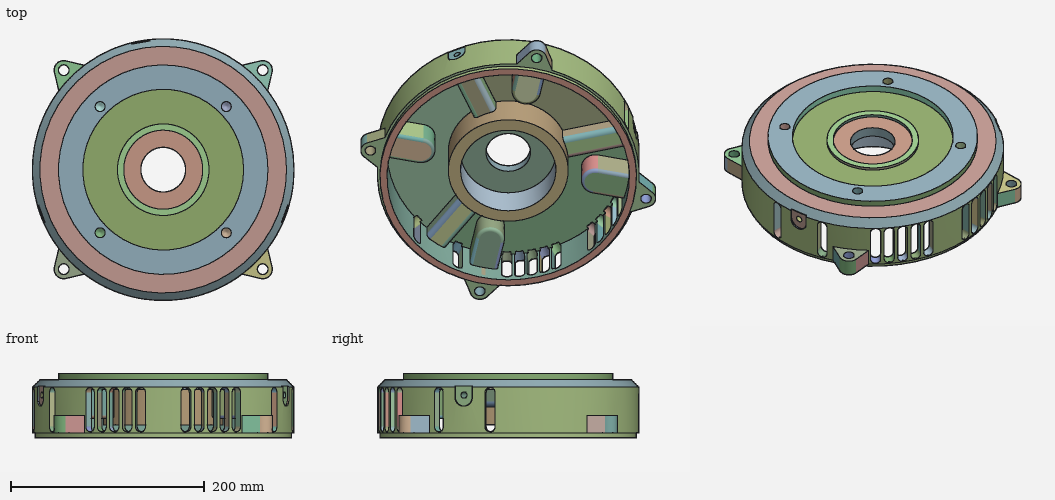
import cadquery as cq
import math

outer_radius = 135.0
base_radius = 132.3
base_height = 5.0
chamfer_size = 7.8
shoulder_height = 60.0
wall = 10.0
inner_radius = outer_radius - wall
ceiling_height = shoulder_height - wall

top_height = 66.5
rim_radius = 108.0
recess_radius = 83.0
recess_height = 59.0
collar_radius = 47.2
collar_inner_radius = 40.8
collar_height = 62.0

hub_radius = 61.8
hub_bottom = 13.2
bore_radius = 23.0
seat_radius = 49.1
seat_height = 48.0

mount_position = 65.0
mount_hole_radius = 5.0
mount_hole_bottom = 32.5
mount_tip_height = 3.2
mount_boss_radius = 14.5
mount_boss_bottom = 19.7
mount_boss_fillet = 3.2

lug_position = 102.5
lug_radius = 10.0
lug_hole_radius = 5.5
lug_top = 23.2
lug_taper = 13.5
lug_flank = 29.7

slot_width = 10.5
slot_bottom = 6.2
slot_top = 51.8
slot_angles_from_front = (10, 16, 22, 28, 34, 58, 82)

pad_angles = (100, 200, 340)
pad_width = 19.0
pad_depth = 2.0
pad_bottom = 32.7
pad_top = 53.2
pad_hole_radius = 3.2
pad_hole_height = 44.0
pad_hole_depth = 32.5
pad_boss_width = 24.3
pad_boss_bottom = 31.9
pad_boss_fillet = 5.0

clearance = 5.5


def cylinder(radius, bottom, top):
    return cq.Workplane("XY").workplane(offset=bottom).circle(radius).extrude(top - bottom)


def radial_plane(angle, distance):
    """Vertical plane facing outward; its local x is tangential and its local y is up."""
    direction = (math.cos(math.radians(angle)), math.sin(math.radians(angle)), 0)
    tangent = (-direction[1], direction[0], 0)
    origin = (distance * direction[0], distance * direction[1], 0)
    return cq.Workplane(cq.Plane(origin=origin, xDir=tangent, normal=direction))


def make_shell():
    drum = cylinder(outer_radius, base_height, shoulder_height).faces(">Z").chamfer(chamfer_size)
    drum = drum.union(cylinder(base_radius, 0, base_height))
    drum = drum.union(cylinder(rim_radius, shoulder_height, top_height))
    drum = drum.cut(cylinder(recess_radius, recess_height, top_height))
    collar = cylinder(collar_radius, recess_height, collar_height)
    collar = collar.cut(cylinder(collar_inner_radius, recess_height, collar_height))
    return drum.union(collar).cut(cylinder(inner_radius, 0, ceiling_height))


def make_mount_boss():
    """Boss on the diagonal at +X +Y, round towards the hub and straight towards the wall."""
    length = inner_radius + wall / 2 - mount_position * math.sqrt(2)
    boss = (
        cq.Workplane("XY", origin=(0, 0, mount_boss_bottom))
        .moveTo(length, mount_boss_radius)
        .lineTo(0, mount_boss_radius)
        .threePointArc((-mount_boss_radius, 0), (0, -mount_boss_radius))
        .lineTo(length, -mount_boss_radius)
        .close()
        .extrude(ceiling_height - mount_boss_bottom)
    )
    boss = boss.faces("<Z").edges("not >X").fillet(mount_boss_fillet)
    return boss.rotate((0, 0, 0), (0, 0, 1), 45).translate((mount_position, mount_position, 0))


def make_pad_boss(angle):
    """Radial rib from the hub to the wall, rounded along its lower edges."""
    start = hub_radius - clearance
    length = inner_radius + wall / 2 - start
    height = ceiling_height - pad_boss_bottom
    rib = cq.Workplane("XY").box(length, pad_boss_width, height, centered=(False, True, False))
    rib = rib.faces("<Z").edges("|X").fillet(pad_boss_fillet)
    return rib.translate((start, 0, pad_boss_bottom)).rotate((0, 0, 0), (0, 0, 1), angle)


def make_lug():
    """Lug on the diagonal at +X +Y: a round end with two flanks running back to the drum."""
    taper = math.radians(lug_taper)
    along = (math.cos(taper), math.sin(taper))
    normal = (-along[1], along[0])
    tangent_x = lug_position + lug_radius * normal[0]
    tangent_y = lug_position + lug_radius * normal[1]
    root_x = tangent_x - lug_flank * along[0]
    root_y = tangent_y - lug_flank * along[1]
    tip = lug_position + lug_radius * math.sqrt(0.5)
    lug = (
        cq.Workplane("XY", origin=(0, 0, base_height))
        .moveTo(root_x, root_y)
        .lineTo(tangent_x, tangent_y)
        .threePointArc((tip, tip), (tangent_y, tangent_x))
        .lineTo(root_y, root_x)
        .close()
        .extrude(lug_top - base_height)
    )
    hole = cylinder(lug_hole_radius, 0, lug_top).translate((lug_position, lug_position, 0))
    return lug.cut(cylinder(inner_radius, 0, lug_top)).cut(hole)


def make_mount_hole():
    """Drilled hole with a conical tip on the diagonal at +X +Y."""
    tip_bottom = mount_hole_bottom - mount_tip_height
    hole = (
        cq.Workplane("XZ")
        .moveTo(0, top_height)
        .lineTo(mount_hole_radius, top_height)
        .lineTo(mount_hole_radius, mount_hole_bottom)
        .lineTo(0, tip_bottom)
        .close()
        .revolve(360, (0, 0, 0), (0, 1, 0))
    )
    return hole.translate((mount_position, mount_position, 0))


def make_slot(angle):
    length = slot_top - slot_bottom
    slot = radial_plane(angle, inner_radius - clearance / 2).center(0, (slot_top + slot_bottom) / 2)
    return slot.slot2D(length, slot_width, 90).extrude(wall + clearance)


def make_pad_cut(angle):
    """Flat with a square upper end and a round lower end, and its screw hole."""
    half = pad_width / 2
    round_height = pad_bottom + half
    flat = (
        radial_plane(angle, outer_radius - pad_depth)
        .moveTo(-half, pad_top)
        .lineTo(-half, round_height)
        .threePointArc((0, pad_bottom), (half, round_height))
        .lineTo(half, pad_top)
        .close()
        .extrude(clearance)
    )
    hole = radial_plane(angle, outer_radius).center(0, pad_hole_height)
    return flat.union(hole.circle(pad_hole_radius).extrude(-pad_hole_depth))


result = make_shell().union(cylinder(hub_radius, hub_bottom, ceiling_height))
for pad_angle in pad_angles:
    result = result.union(make_pad_boss(pad_angle))
for quarter in range(4):
    corner = make_lug().union(make_mount_boss())
    result = result.union(corner.rotate((0, 0, 0), (0, 0, 1), 90 * quarter))

result = result.cut(cylinder(seat_radius, hub_bottom, seat_height))
result = result.cut(cylinder(bore_radius, seat_height, top_height))
for quarter in range(4):
    result = result.cut(make_mount_hole().rotate((0, 0, 0), (0, 0, 1), 90 * quarter))

for slot_angle in slot_angles_from_front:
    for side in (-1, 1):
        result = result.cut(make_slot(270 + side * slot_angle))
for pad_angle in pad_angles:
    result = result.cut(make_pad_cut(pad_angle))